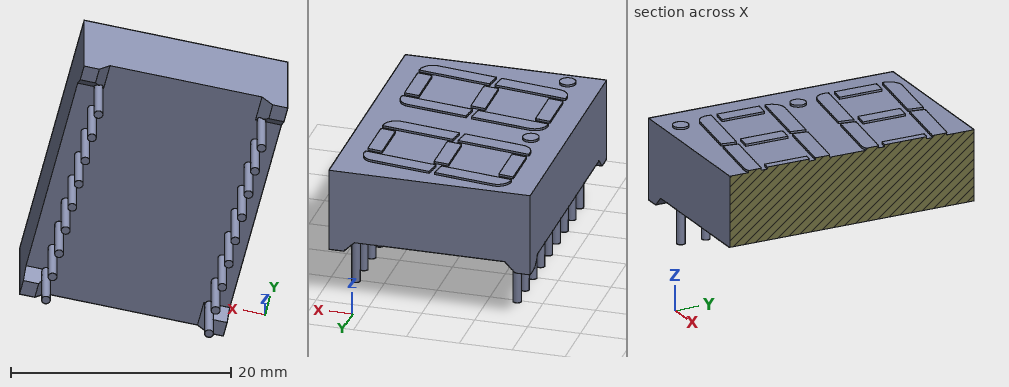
import cadquery as cq
import math

body_x = 19.05
body_y = 25.0
body_height = 8.0
foot_height = 1.0
foot_length_x = 1.425
foot_length_y = 1.5
foot_slope_run = 1.0

pin_diameter = 0.8
pin_pitch = 2.54
pin_row_spacing = 15.24
pins_per_row = 9
pin_length = 4.0

digit_pitch = 12.0
digit_centre_x = 0.1
digits_centre_y = 0.4
slant_angle = 8.0
segment_thickness = 0.2

long_segment_length = 7.0
long_segment_width = 1.5
long_segment_gap = 0.54
long_segment_inner_edge = 2.72
long_segment_corner_radius = 1.25

short_segment_width = 1.42
short_segment_length = 4.32
outer_segment_offset = 6.46
middle_segment_offset = -0.08

dot_diameter = 1.5
dot_offset_x = -6.4
dot_offset_y = -5.26

slant_slope = math.tan(math.radians(slant_angle))


def channel(plane, span, foot_length, depth):
    """Trapezoidal channel through the underside, with a foot left at each end of span."""
    mouth_half = span / 2 - foot_length
    roof_half = mouth_half - foot_slope_run
    return (
        cq.Workplane(plane)
        .polyline([
            (-mouth_half, 0),
            (-roof_half, foot_height),
            (roof_half, foot_height),
            (mouth_half, 0),
        ])
        .close()
        .extrude(depth / 2, both=True)
    )


def make_housing():
    block = cq.Workplane("XY").box(body_x, body_y, body_height, centered=(True, True, False))
    channel_along_y = channel("XZ", body_x, foot_length_x, body_y)
    channel_along_x = channel("YZ", body_y, foot_length_y, body_x)
    return block.cut(channel_along_y).cut(channel_along_x)


def make_pins():
    """Both pin rows, each pin reaching up to the roof of the channels."""
    return (
        cq.Workplane("XY", origin=(0, 0, -pin_length))
        .rarray(pin_row_spacing, pin_pitch, 2, pins_per_row)
        .circle(pin_diameter / 2)
        .extrude(pin_length + foot_height)
    )


def long_segment(row_side, end_side):
    """Bar turned by the slant angle, its outermost corner rounded."""
    row_shift = -row_side * long_segment_inner_edge * slant_slope
    centre_x = row_shift + end_side * (long_segment_gap + long_segment_length) / 2
    centre_y = row_side * (long_segment_inner_edge + long_segment_width / 2)
    end_selector = ">X" if end_side > 0 else "<X"
    row_selector = ">Y" if row_side > 0 else "<Y"
    return (
        cq.Workplane("XY")
        .box(long_segment_length, long_segment_width, segment_thickness, centered=(True, True, False))
        .edges("|Z")
        .edges(end_selector)
        .edges(row_selector)
        .fillet(long_segment_corner_radius)
        .translate((centre_x, centre_y, 0))
        .rotate((0, 0, 0), (0, 0, 1), -slant_angle)
    )


def short_segment(offset):
    """Bar with sides along Y and ends following the slant, centred on the slanted line."""
    left = offset - short_segment_width / 2
    right = offset + short_segment_width / 2
    half_length = short_segment_length / 2
    return (
        cq.Workplane("XY")
        .polyline([
            (left, -left * slant_slope - half_length),
            (right, -right * slant_slope - half_length),
            (right, -right * slant_slope + half_length),
            (left, -left * slant_slope + half_length),
        ])
        .close()
        .extrude(segment_thickness)
    )


def decimal_point():
    return (
        cq.Workplane("XY")
        .center(dot_offset_x, dot_offset_y)
        .circle(dot_diameter / 2)
        .extrude(segment_thickness)
    )


def digit_pieces():
    """The seven-segment bars and decimal point of one digit, about its centre."""
    pieces = [decimal_point()]
    for row_side in (-1, 1):
        for end_side in (-1, 1):
            pieces.append(long_segment(row_side, end_side))
    for offset in (-outer_segment_offset, middle_segment_offset, outer_segment_offset):
        pieces.append(short_segment(offset))
    return pieces


result = make_housing().union(make_pins())
for digit_side in (-1, 1):
    digit_centre_y = digits_centre_y + digit_side * digit_pitch / 2
    for piece in digit_pieces():
        result = result.union(piece.translate((digit_centre_x, digit_centre_y, body_height)))